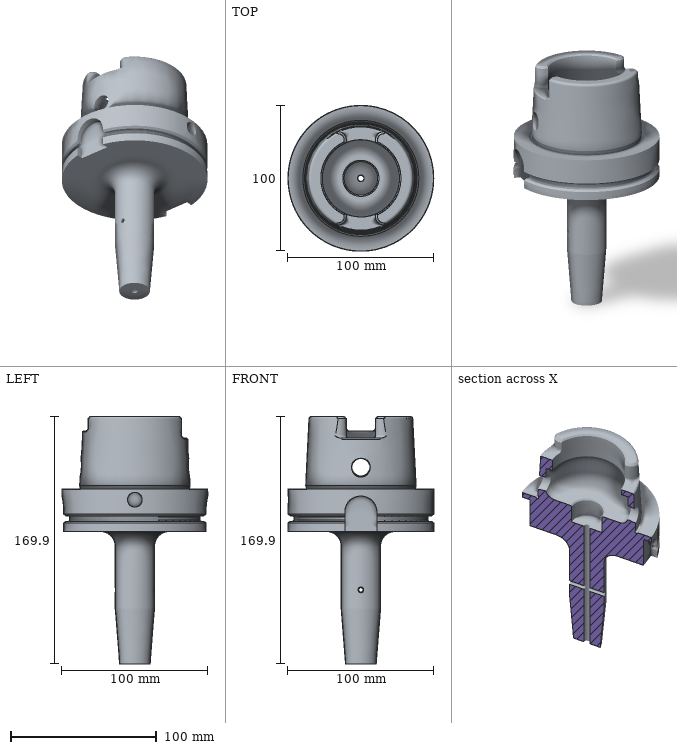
import cadquery as cq
import math


nose_end_z = -120.0
nose_radius = 13.5
nose_end_radius = 10.5
nose_cone_length = 38.0
nose_fillet = 10.0

flange_radius = 50.0
flange_height = 29.0
groove_z = -20.1
groove_width = 3.8
groove_floor_radius = 46.0
groove_floor_fillet = 0.8
groove_mouth_bevel_depth = 1.6
groove_mouth_bevel_height = 1.2

rim_z = 49.9
rim_fillet = 1.7
taper_start_z = 2.4
taper_start_radius = 37.9
taper_per_side = 0.05
neck_radius = 37.5
neck_height = 1.1
relief_radius = 39.8
relief_floor_radius = 38.6
relief_depth = 0.8

bore_radius = 26.5
bore_chamfer = 1.0
upper_bore_z = 30.0
lower_bore_radius = 31.5
lower_bore_floor_fillet = 6.7
bore_floor_z = 3.6
pocket_radius = 11.5
pocket_depth = 15.0
pocket_chamfer = 0.9
coolant_hole_diameter = 4.2

slot_half_width = 10.0
slot_corner_radius = 5.5
slot_corner_y = 26.5
front_slot_z = 35.0
rear_slot_z = 40.0
slot_floor_fillet = 2.0
slot_rim_chamfer = 1.5
slot_floor_chamfer = 0.7
slot_floor_chamfer_half_width = 13.0
slot_start_y = 15.0
slot_end_radius = 45.0

keyway_width = 22.0
keyway_top_z = -4.7
keyway_floor_y = 44.0
keyway_floor_fillet = 0.5

access_hole_diameter = 12.6
access_hole_z = 14.7
access_hole_rise_angle = 7.0
access_hole_end_radius = 24.0
data_hole_diameter = 10.0
data_hole_depth = 5.0
data_hole_z = -7.2
cross_hole_diameter = 3.0
cross_hole_z = -69.0
cross_sink_diameter = 4.0


def taper_radius(z):
    return taper_start_radius - taper_per_side * (z - taper_start_z)


def make_body():
    """Revolve the solid outside profile about Z."""
    flange_bottom = -flange_height
    half_groove = groove_width / 2
    half_mouth = half_groove + groove_mouth_bevel_height
    half_floor = half_groove - groove_floor_fillet
    bevel_radius = flange_radius - groove_mouth_bevel_depth
    floor_fillet_radius = groove_floor_radius + groove_floor_fillet
    floor_fillet_side = groove_floor_fillet * (1 - math.sqrt(0.5))
    fillet_mid_r = groove_floor_radius + floor_fillet_side
    fillet_mid_offset = half_groove - floor_fillet_side
    fillet_side = math.sqrt(0.5) * nose_fillet
    fillet_center_r = nose_radius + nose_fillet
    fillet_center_z = flange_bottom - nose_fillet
    rim_side = rim_fillet * (1 - math.sqrt(0.5))
    rim_radius = taper_radius(rim_z)
    profile = (
        cq.Workplane("XZ")
        .moveTo(0, nose_end_z)
        .lineTo(nose_end_radius, nose_end_z)
        .lineTo(nose_radius, nose_end_z + nose_cone_length)
        .lineTo(nose_radius, fillet_center_z)
        .threePointArc(
            (fillet_center_r - fillet_side, fillet_center_z + fillet_side),
            (fillet_center_r, flange_bottom),
        )
        .lineTo(flange_radius, flange_bottom)
        .lineTo(flange_radius, groove_z - half_mouth)
        .lineTo(bevel_radius, groove_z - half_groove)
        .lineTo(floor_fillet_radius, groove_z - half_groove)
        .threePointArc(
            (fillet_mid_r, groove_z - fillet_mid_offset),
            (groove_floor_radius, groove_z - half_floor),
        )
        .lineTo(groove_floor_radius, groove_z + half_floor)
        .threePointArc(
            (fillet_mid_r, groove_z + fillet_mid_offset),
            (floor_fillet_radius, groove_z + half_groove),
        )
        .lineTo(bevel_radius, groove_z + half_groove)
        .lineTo(flange_radius, groove_z + half_mouth)
        .lineTo(flange_radius, 0)
        .lineTo(relief_radius, 0)
        .lineTo(relief_floor_radius, -relief_depth)
        .lineTo(neck_radius, -relief_depth)
        .lineTo(neck_radius, neck_height)
        .lineTo(taper_start_radius, taper_start_z)
        .lineTo(taper_radius(rim_z - rim_fillet), rim_z - rim_fillet)
        .threePointArc((rim_radius - rim_side, rim_z - rim_side), (rim_radius - rim_fillet, rim_z))
        .lineTo(0, rim_z)
        .close()
    )
    return profile.revolve(360, (0, 0, 0), (0, 1, 0))


def make_bore():
    """Revolve the stepped cavity and the coolant hole along the axis."""
    pocket_floor_z = bore_floor_z - pocket_depth
    fillet = lower_bore_floor_fillet
    fillet_side = fillet * (1 - math.sqrt(0.5))
    cavity = (
        cq.Workplane("XZ")
        .moveTo(0, rim_z)
        .lineTo(bore_radius + bore_chamfer, rim_z)
        .lineTo(bore_radius, rim_z - bore_chamfer)
        .lineTo(bore_radius, upper_bore_z)
        .lineTo(lower_bore_radius, upper_bore_z)
        .lineTo(lower_bore_radius, bore_floor_z + fillet)
        .threePointArc(
            (lower_bore_radius - fillet_side, bore_floor_z + fillet_side),
            (lower_bore_radius - fillet, bore_floor_z),
        )
        .lineTo(pocket_radius + pocket_chamfer, bore_floor_z)
        .lineTo(pocket_radius, bore_floor_z - pocket_chamfer)
        .lineTo(pocket_radius, pocket_floor_z)
        .lineTo(0, pocket_floor_z)
        .close()
        .revolve(360, (0, 0, 0), (0, 1, 0))
    )
    coolant_hole = (
        cq.Workplane("XY", origin=(0, 0, nose_end_z))
        .circle(coolant_hole_diameter / 2)
        .extrude(bore_floor_z - nose_end_z)
    )
    return cavity.union(coolant_hole)


def slot_outline(z, growth):
    """Drive slot outline on the +Y side; growth widens it evenly.

    Each side wall runs straight, then rounds a corner post and leaves it
    on the line from the part axis through the post center.
    """
    half_width = slot_half_width + growth
    radius = slot_corner_radius - growth
    post_x = slot_half_width + slot_corner_radius
    exit_angle = math.atan2(slot_corner_y, post_x)
    mid_angle = (math.pi + exit_angle) / 2
    mid_x = post_x + radius * math.cos(mid_angle)
    mid_y = slot_corner_y + radius * math.sin(mid_angle)
    exit_x = post_x + radius * math.cos(exit_angle)
    exit_y = slot_corner_y + radius * math.sin(exit_angle)
    end_x = slot_end_radius * math.cos(exit_angle)
    end_y = slot_end_radius * math.sin(exit_angle)
    return (
        cq.Workplane("XY", origin=(0, 0, z))
        .moveTo(-half_width, slot_start_y)
        .lineTo(half_width, slot_start_y)
        .lineTo(half_width, slot_corner_y)
        .threePointArc((mid_x, mid_y), (exit_x, exit_y))
        .lineTo(end_x, end_y)
        .threePointArc((0, slot_end_radius), (-end_x, end_y))
        .lineTo(-exit_x, exit_y)
        .threePointArc((-mid_x, mid_y), (-half_width, slot_corner_y))
        .close()
    )


def make_drive_slot(floor_z):
    """Cutter for the drive slot on the +Y side, with its edge breaks."""
    slot = slot_outline(floor_z, 0).extrude(rim_z - floor_z)
    slot = slot.faces("<Z").edges("not (<Y or >Y)").fillet(slot_floor_fillet)
    lower_wire = slot_outline(rim_z - slot_rim_chamfer, 0).val()
    upper_wire = slot_outline(rim_z, slot_rim_chamfer).val()
    rim_flare = cq.Workplane(cq.Solid.makeLoft([lower_wire, upper_wire], True))
    outer_break_radius = taper_radius(floor_z) - slot_floor_chamfer
    ring_end_radius = outer_break_radius + 2 * slot_floor_chamfer
    floor_break = (
        cq.Workplane("XZ")
        .moveTo(outer_break_radius, floor_z)
        .lineTo(ring_end_radius, floor_z - 2 * slot_floor_chamfer)
        .lineTo(ring_end_radius, floor_z)
        .close()
        .revolve(360, (0, 0, 0), (0, 1, 0))
        .intersect(
            cq.Workplane("XY", origin=(0, slot_end_radius / 2, floor_z))
            .box(2 * slot_floor_chamfer_half_width, slot_end_radius, 4 * slot_floor_chamfer)
        )
    )
    return slot.union(rim_flare).union(floor_break)


def make_keyway():
    """Cutter for the round-topped keyway on the -Y side."""
    half_width = keyway_width / 2
    arch_z = keyway_top_z - half_width
    return (
        cq.Workplane("XZ", origin=(0, -keyway_floor_y, 0))
        .moveTo(-half_width, -flange_height)
        .lineTo(-half_width, arch_z)
        .threePointArc((0, keyway_top_z), (half_width, arch_z))
        .lineTo(half_width, -flange_height)
        .close()
        .extrude(flange_radius - keyway_floor_y)
        .faces(">Y")
        .edges("not <Z")
        .fillet(keyway_floor_fillet)
    )


def make_access_hole():
    """Cutter for the hole through the -Y wall of the shank, rising toward the axis."""
    rise = math.radians(access_hole_rise_angle)
    mouth_y = -taper_radius(access_hole_z)
    inward = cq.Vector(0, math.cos(rise), math.sin(rise))
    overrun = access_hole_diameter / 2
    mouth = cq.Vector(0, mouth_y, access_hole_z) - inward * overrun
    length = overrun - mouth_y - access_hole_end_radius
    return cq.Workplane(cq.Solid.makeCylinder(access_hole_diameter / 2, length, mouth, inward))


def make_cross_hole():
    """Small hole along Y through both walls of the nose."""
    return (
        cq.Workplane("XZ", origin=(0, nose_radius, cross_hole_z))
        .circle(cross_hole_diameter / 2)
        .extrude(2 * nose_radius)
    )


def make_data_hole():
    """Blind hole in the flange rim on the -X side."""
    return (
        cq.Workplane("YZ", origin=(-flange_radius, 0, data_hole_z))
        .circle(data_hole_diameter / 2)
        .extrude(data_hole_depth)
    )


def make_cross_sink():
    """Countersink at the -Y mouth of the cross hole in the nose."""
    sink_depth = (cross_sink_diameter - cross_hole_diameter) / 2
    cone = cq.Solid.makeCone(
        cross_sink_diameter / 2 + sink_depth,
        cross_hole_diameter / 2,
        2 * sink_depth,
        cq.Vector(0, -nose_radius - sink_depth, cross_hole_z),
        cq.Vector(0, 1, 0),
    )
    return cq.Workplane(cone)


def half_turn(cutter):
    return cutter.rotate((0, 0, 0), (0, 0, 1), 180)


result = make_body().cut(make_bore())
result = result.cut(make_drive_slot(rear_slot_z))
result = result.cut(half_turn(make_drive_slot(front_slot_z)))
for feature in (make_keyway(), make_access_hole(), make_cross_sink()):
    result = result.cut(feature)
    result = result.cut(half_turn(feature))
result = result.cut(make_cross_hole())
result = result.cut(make_data_hole())